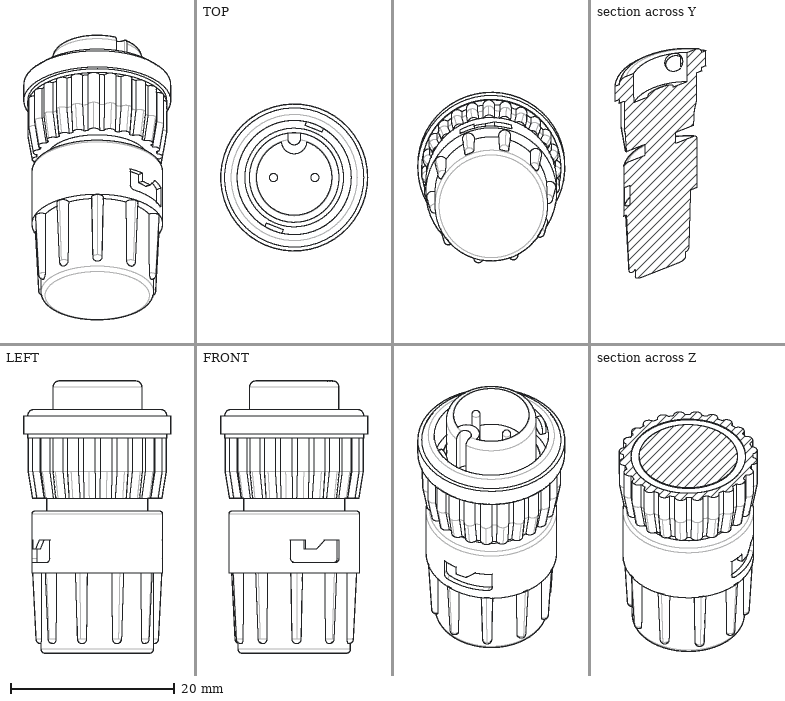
import cadquery as cq


grip_rib_bottom = 1.75
sleeve_bottom = 9.83
sleeve_top = 17.45
nut_bottom = 18.97
nut_taper_top = 22.27
nut_ridge_top = 26.36
flange_bottom = 26.87
flange_top = 29.1
nut_top = 29.9
shell_top = 33.4
cavity_floor = 25.7
shell_floor = 27.3

grip_radius = 6.9
sleeve_radius = 8.02
neck_radius = 6.2
nut_radius = 8.53
flange_radius = 9.015
cavity_radius = 7.0
shell_radius = 5.49
shell_bore_radius = 4.62
shoulder_radius = 6.05

base_round = 0.5
sleeve_round = 0.4
rim_round = 0.8
shoulder_round = 0.55
shoulder_wall = 0.15
shoulder_top = cavity_floor + shoulder_wall + shoulder_round

nut_ridge_count = 24
nut_ridge_phase = 8.0
nut_ridge_radius = 0.73
nut_root_radius = 7.95
nut_taper_inset = 0.54

grip_rib_count = 10
grip_rib_phase = -87.6
grip_rib_top_radius = 0.73
grip_rib_bottom_radius = 0.57
grip_rib_top_reach = 7.2
grip_rib_bottom_reach = 6.95

pocket_turn = 20.0
pocket_half_width = 3.17
pocket_bottom = 11.14
pocket_top = 13.9
notch_left = -1.38
notch_depth = 1.12
notch_width = 1.38
pocket_corner_round = 0.5
pocket_floor_radius = 7.4

stud_turn = -21.6
stud_radius = 1.12
stud_reach = 6.44
stud_root = 7.4
stud_height = nut_top - stud_radius

key_radius = 1.55
key_center = 4.45
keyway_radius = 0.78
keyway_center = 4.78

pin_radius = 0.5
pin_offset = 2.54
pin_ball_height = 31.8


def round_bar(radius, bottom, top):
    """Upright cylinder on the axis between two heights."""
    return cq.Workplane("XY").workplane(offset=bottom).circle(radius).extrude(top - bottom)


def leaning_bar(bottom_radius, bottom_reach, bottom, top_radius, top_reach, top):
    """Round bar on the +X side whose ends may differ in size and distance from the axis."""
    return (
        cq.Workplane("XY").workplane(offset=bottom).center(bottom_reach, 0).circle(bottom_radius)
        .workplane(offset=top - bottom).center(top_reach - bottom_reach, 0).circle(top_radius)
        .loft(ruled=True)
    )


def add_around(body, feature, count, phase):
    """Join evenly spaced copies of a feature around the axis."""
    for index in range(count):
        angle = phase + index * 360 / count
        body = body.union(feature.rotate((0, 0, 0), (0, 0, 1), angle))
    return body


def make_grip():
    grip = round_bar(grip_radius, 0, sleeve_bottom).faces("<Z").edges().fillet(base_round)
    bar = leaning_bar(
        grip_rib_bottom_radius, grip_rib_bottom_reach, grip_rib_bottom,
        grip_rib_top_radius, grip_rib_top_reach, sleeve_bottom,
    )
    tip = cq.Workplane("XY").sphere(grip_rib_bottom_radius, angle1=-90, angle2=0)
    tip = tip.translate((grip_rib_bottom_reach, 0, grip_rib_bottom))
    grip = add_around(grip, bar, grip_rib_count, grip_rib_phase)
    return add_around(grip, tip, grip_rib_count, grip_rib_phase)


def make_latch_pocket():
    """Tool that cuts one pocket, square to the -Y side, down to a round floor."""
    notch_floor = pocket_top - notch_depth
    notch_right = notch_left + notch_width
    block = (
        cq.Workplane("XZ")
        .moveTo(-pocket_half_width, pocket_bottom)
        .lineTo(pocket_half_width, pocket_bottom)
        .lineTo(pocket_half_width, pocket_top)
        .lineTo(notch_right + notch_depth, pocket_top)
        .lineTo(notch_right, notch_floor)
        .lineTo(notch_left, notch_floor)
        .lineTo(notch_left, pocket_top)
        .lineTo(-pocket_half_width, pocket_top)
        .close()
        .extrude(flange_radius)
    )
    block = block.edges("|Y").edges("<Z").fillet(pocket_corner_round)
    return block.cut(round_bar(pocket_floor_radius, sleeve_bottom, sleeve_top))


def make_sleeve():
    sleeve = round_bar(sleeve_radius, sleeve_bottom, sleeve_top)
    sleeve = sleeve.faces(">Z").edges().fillet(sleeve_round)
    pocket = make_latch_pocket()
    for turn in (pocket_turn, pocket_turn + 180):
        sleeve = sleeve.cut(pocket.rotate((0, 0, 0), (0, 0, 1), turn))
    return sleeve.union(round_bar(neck_radius, sleeve_top, nut_bottom))


def make_coupling_nut():
    root_cone = (
        cq.Workplane("XY").workplane(offset=nut_bottom).circle(nut_root_radius - nut_taper_inset)
        .workplane(offset=nut_taper_top - nut_bottom).circle(nut_root_radius)
        .loft(ruled=True)
    )
    nut = root_cone.union(round_bar(nut_root_radius, nut_taper_top, nut_ridge_top))

    ridge_reach = nut_radius - nut_ridge_radius
    upper_ridge = leaning_bar(
        nut_ridge_radius, ridge_reach, nut_taper_top,
        nut_ridge_radius, ridge_reach, nut_ridge_top,
    )
    lower_ridge = leaning_bar(
        nut_ridge_radius, ridge_reach - nut_taper_inset, nut_bottom,
        nut_ridge_radius, ridge_reach, nut_taper_top,
    )
    nut = add_around(nut, upper_ridge.union(lower_ridge), nut_ridge_count, nut_ridge_phase)

    rim = round_bar(nut_radius, nut_ridge_top, nut_top).faces(">Z").edges().fillet(rim_round)
    nut = nut.union(rim).union(round_bar(flange_radius, flange_bottom, flange_top))
    nut = nut.cut(round_bar(cavity_radius, cavity_floor, nut_top))

    stud = (
        cq.Workplane("YZ").workplane(offset=stud_reach)
        .center(0, stud_height).circle(stud_radius)
        .extrude(stud_root - stud_reach)
    )
    return add_around(nut, stud, 2, 90 + stud_turn)


def make_shell():
    shell = round_bar(shell_radius, cavity_floor, shell_top).faces(">Z").edges().fillet(rim_round)
    shoulder = round_bar(shoulder_radius, cavity_floor, shoulder_top)
    shoulder = shoulder.faces(">Z").edges().fillet(shoulder_round)
    bore = round_bar(shell_bore_radius, shell_floor, shell_top)
    shell = shell.union(shoulder).cut(bore)

    key = round_bar(key_radius, shell_floor, shell_top).translate((0, key_center, 0))
    shell = shell.union(key.intersect(bore))

    keyway_end = round_bar(keyway_radius, shell_floor, shell_top).translate((0, keyway_center, 0))
    keyway_slot = (
        cq.Workplane("XY").workplane(offset=shell_floor)
        .center(0, keyway_center + keyway_radius)
        .rect(2 * keyway_radius, 2 * keyway_radius)
        .extrude(shell_top - shell_floor)
    )
    shell = shell.cut(keyway_end).cut(keyway_slot)

    pin = round_bar(pin_radius, shell_floor, pin_ball_height)
    pin = pin.union(cq.Workplane("XY").sphere(pin_radius).translate((0, 0, pin_ball_height)))
    for side in (-1, 1):
        shell = shell.union(pin.translate((side * pin_offset, 0, 0)))
    return shell


result = make_grip().union(make_sleeve()).union(make_coupling_nut()).union(make_shell())